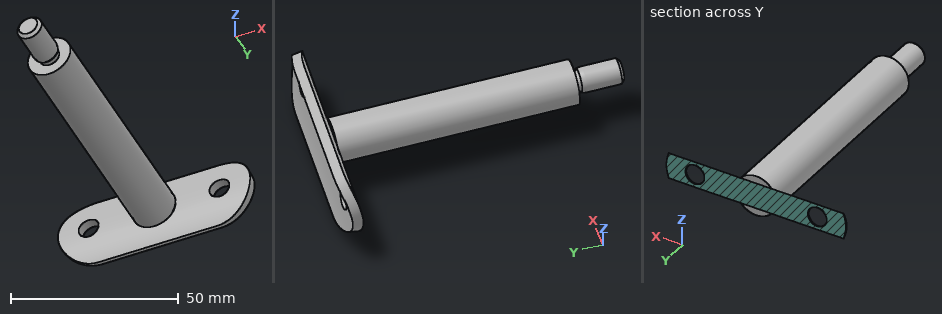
import cadquery as cq
import math

overall_length = 95.5

plate_length = 63.0
plate_height = 24.0
plate_thickness = 3.3
plate_outer_radius = 25.4
hole_diameter = 6.5
hole_spacing = 42.9

rod_diameter = 14.0
rod_inset = 0.4
rod_reach = 74.6
dish_angle = 5.0

stud_diameter = 8.0
neck_diameter = 6.3
neck_length = 1.1
shoulder_diameter = 7.45
shoulder_start = 1.7
thread_start = 3.15
tip_diameter = 6.0

rod_radius = rod_diameter / 2
neck_radius = neck_diameter / 2
shoulder_radius = shoulder_diameter / 2
stud_radius = stud_diameter / 2
tip_radius = tip_diameter / 2

edge_angle = math.asin(plate_height / 2 / plate_outer_radius)
plate_inner_radius = plate_outer_radius - plate_thickness
plate_depth = plate_outer_radius - plate_inner_radius * math.cos(edge_angle)

rod_face_y = -rod_reach
dish_depth = (rod_radius - neck_radius) * math.tan(math.radians(dish_angle))
stud_seat_y = rod_face_y + dish_depth
stud_tip_y = plate_depth - overall_length


def make_rod():
    """Round bar with a dished free end and a flat seat for the stud in the dish."""
    half_profile = (
        cq.Workplane("XY")
        .moveTo(0, rod_inset)
        .lineTo(rod_radius, rod_inset)
        .lineTo(rod_radius, rod_face_y)
        .lineTo(neck_radius, stud_seat_y)
        .lineTo(0, stud_seat_y)
        .close()
    )
    return half_profile.revolve(360, (0, 0), (0, 1))


def make_stud():
    """Stud with an undercut neck, a rounded shoulder and a 45 degree tip chamfer."""
    neck_end_y = rod_face_y - neck_length
    shoulder_y = rod_face_y - shoulder_start
    thread_y = rod_face_y - thread_start
    chamfer_y = stud_tip_y + stud_radius - tip_radius

    rise = stud_radius - shoulder_radius
    run = thread_start - shoulder_start
    arc_radius = (rise**2 + run**2) / (2 * rise)
    half_sweep = math.atan2(rise, run)
    shoulder_middle = (
        stud_radius - arc_radius * (1 - math.cos(half_sweep)),
        thread_y + arc_radius * math.sin(half_sweep),
    )

    half_profile = (
        cq.Workplane("XY")
        .moveTo(0, stud_seat_y)
        .lineTo(neck_radius, stud_seat_y)
        .lineTo(neck_radius, neck_end_y)
        .tangentArcPoint((shoulder_radius, shoulder_y), relative=False)
        .threePointArc(shoulder_middle, (stud_radius, thread_y))
        .lineTo(stud_radius, chamfer_y)
        .lineTo(tip_radius, stud_tip_y)
        .lineTo(0, stud_tip_y)
        .close()
    )
    return half_profile.revolve(360, (0, 0), (0, 1))


def make_plate_strip():
    """Curved strip of even thickness whose rim stands square to its outer face."""
    outline = (
        cq.Workplane("XZ")
        .slot2D(plate_length, plate_height)
        .extrude(-plate_outer_radius)
    )
    cylinder = (
        cq.Workplane("YZ")
        .center(plate_outer_radius, 0)
        .circle(plate_outer_radius)
        .extrude(plate_length, both=True)
    )
    outer_face = cylinder.intersect(outline).faces("%CYLINDER").faces("<Y").val()
    return cq.Workplane(outer_face.thicken(-plate_thickness))


def make_plate(rod):
    """Saddle plate with two screw holes and a recess that fits the rod's end."""
    holes = (
        cq.Workplane("XZ")
        .pushPoints([(-hole_spacing / 2, 0), (hole_spacing / 2, 0)])
        .circle(hole_diameter / 2)
        .extrude(plate_outer_radius, both=True)
    )
    return make_plate_strip().cut(holes).cut(rod)


rod = make_rod()
stud = make_stud()
plate = make_plate(rod)

result = cq.Compound.makeCompound([plate.solids().val(), rod.val(), stud.val()])